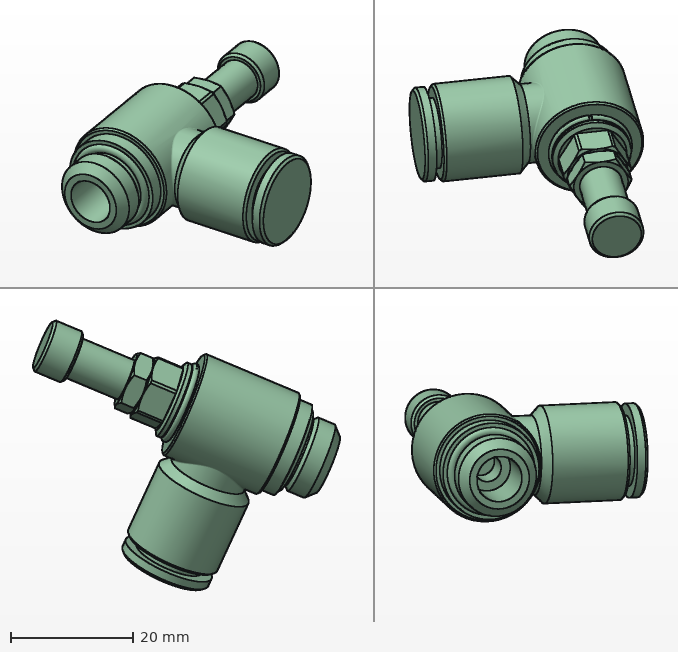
import cadquery as cq
import math


total_length = 51.0
total_width = 36.15
shank_radius = 6.55
flat_to_corner_angle = 30
hex_chamfer_slope = math.tan(math.radians(30))

banjo_diameter = 18.0
banjo_radius = banjo_diameter / 2
banjo_bottom = 8.75
banjo_top = 25.85
banjo_chamfer = 0.3
branch_height = (banjo_bottom + banjo_top) / 2

branch_neck_radius = 6.55
branch_radius = 8.05
branch_cone_start = 9.5
branch_end = 24.1
branch_end_chamfer = 0.4
branch_root_fillet = 0.25
collar_neck_radius = 5.8
collar_radius = 7.75
collar_start = 25.3
collar_end = total_width - banjo_radius
collar_chamfer = 0.45

port_chamfer = 1.55
thread_top = 4.5
relief_radius = 5.85
seal_flange_radius = 8.05
seal_flange_bottom = 6.3
port_bore_radius = 3.8
port_bore_depth = banjo_bottom
metering_bore_radius = 2.25
metering_bore_depth = 5.1

o_ring_section_radius = 0.74

snap_ring_section_radius = 0.55
snap_ring_radius = 6.4
snap_ring_gap = 0.45

upper_flange_bottom = 27.15
upper_flange_top = 28.35
upper_flange_chamfer_height = 0.45
upper_flange_top_radius = 5.7

body_hex_flats = 10.0
body_hex_corner_flats = 11.2
lock_nut_bottom = 33.2
lock_nut_top = 36.2
lock_nut_flats = 9.05
stem_radius = 3.5
knob_bottom = 45.55
knob_radius = 4.55
knob_chamfer = 0.45


def revolve_about_y(profile):
    return profile.close().revolve(360, (0, 0, 0), (0, 1, 0))


def hexagon(across_flats, bottom, top, turn_angle):
    """Hexagonal prism along Y; at turn angle 0 one flat faces +X."""
    prism = cq.Workplane("XZ").polygon(6, across_flats, circumscribed=True).extrude(bottom - top)
    return prism.rotate((0, 0, 0), (0, 1, 0), turn_angle).translate((0, bottom, 0))


def chamfer_envelope(face_radius, bottom, top, chamfer_bottom):
    """Turned blank whose 30 degree cones round off the corners of a hexagon."""
    reach = face_radius / 2
    rise = reach * hex_chamfer_slope
    outer = face_radius + reach
    profile = cq.Workplane("XY").moveTo(0, bottom)
    if chamfer_bottom:
        profile = profile.lineTo(face_radius, bottom).lineTo(outer, bottom + rise)
    else:
        profile = profile.lineTo(outer, bottom)
    profile = profile.lineTo(outer, top - rise).lineTo(face_radius, top).lineTo(0, top)
    return revolve_about_y(profile)



def make_banjo():
    profile = (
        cq.Workplane("XY")
        .moveTo(0, banjo_bottom)
        .lineTo(banjo_radius - banjo_chamfer, banjo_bottom)
        .lineTo(banjo_radius, banjo_bottom + banjo_chamfer)
        .lineTo(banjo_radius, banjo_top - banjo_chamfer)
        .lineTo(banjo_radius - banjo_chamfer, banjo_top)
        .lineTo(0, banjo_top)
    )
    return revolve_about_y(profile)


def make_branch_neck():
    """Plain neck of the branch, from the valve axis to the start of the cone."""
    neck = cq.Workplane("YZ").circle(branch_neck_radius).extrude(branch_cone_start)
    return neck.translate((0, branch_height, 0))


def make_branch():
    """Coned tube socket with the release collar on its end."""
    cone_end = branch_cone_start + branch_radius - branch_neck_radius
    profile = (
        cq.Workplane("XY")
        .moveTo(branch_cone_start, 0)
        .lineTo(branch_cone_start, branch_neck_radius)
        .lineTo(cone_end, branch_radius)
        .lineTo(branch_end - branch_end_chamfer, branch_radius)
        .lineTo(branch_end, branch_radius - branch_end_chamfer)
        .lineTo(branch_end, collar_neck_radius)
        .lineTo(collar_start, collar_neck_radius)
        .lineTo(collar_start, collar_radius)
        .lineTo(collar_end - collar_chamfer, collar_radius)
        .lineTo(collar_end, collar_radius - collar_chamfer)
        .lineTo(collar_end, 0)
        .close()
    )
    return profile.revolve(360, (0, 0, 0), (1, 0, 0)).translate((0, branch_height, 0))


def make_elbow():
    root_zone = cq.selectors.BoxSelector(
        (0, banjo_bottom + banjo_chamfer, -banjo_radius),
        (branch_cone_start - branch_root_fillet, banjo_top - banjo_chamfer, banjo_radius),
        boundingbox=True,
    )
    elbow = make_banjo().union(make_branch_neck())
    elbow = elbow.edges(root_zone).fillet(branch_root_fillet)
    elbow = elbow.union(make_branch())
    bore = revolve_about_y(
        cq.Workplane("XY")
        .moveTo(0, banjo_bottom)
        .lineTo(shank_radius, banjo_bottom)
        .lineTo(shank_radius, banjo_top)
        .lineTo(0, banjo_top)
    )
    return elbow.cut(bore)



def make_turned_core():
    """Everything round on the valve from the port end up to the upper flange."""
    relief_start = thread_top + shank_radius - relief_radius
    o_ring_radius = relief_radius + o_ring_section_radius
    profile = (
        cq.Workplane("XY")
        .lineTo(shank_radius - port_chamfer, 0)
        .lineTo(shank_radius, port_chamfer)
        .lineTo(shank_radius, thread_top)
        .lineTo(relief_radius, relief_start)
        .lineTo(relief_radius, seal_flange_bottom)
        .threePointArc(
            (o_ring_radius, seal_flange_bottom - o_ring_section_radius),
            (o_ring_radius + o_ring_section_radius, seal_flange_bottom),
        )
        .lineTo(seal_flange_radius, seal_flange_bottom)
        .lineTo(seal_flange_radius, banjo_bottom)
        .lineTo(shank_radius, banjo_bottom)
        .lineTo(shank_radius, banjo_top)
        .lineTo(snap_ring_radius, banjo_top)
        .lineTo(snap_ring_radius, upper_flange_bottom)
        .lineTo(shank_radius, upper_flange_bottom)
        .lineTo(shank_radius, upper_flange_top - upper_flange_chamfer_height)
        .lineTo(upper_flange_top_radius, upper_flange_top)
        .lineTo(0, upper_flange_top)
    )
    return revolve_about_y(profile)


def make_snap_ring():
    """Round-section ring half sunk in its groove, split on the +Z side."""
    height = banjo_top + snap_ring_section_radius
    ring = (
        cq.Workplane("XY")
        .center(snap_ring_radius, height)
        .circle(snap_ring_section_radius)
        .revolve(360, (-snap_ring_radius, 0, 0), (-snap_ring_radius, 1, 0))
    )
    gap = (
        cq.Workplane("XY")
        .box(snap_ring_gap, 2 * snap_ring_section_radius, banjo_radius, centered=(True, True, False))
        .translate((0, height, 0))
    )
    return ring.cut(gap)


def make_body_hex():
    """Wrench hexagon with small flats across its corners."""
    prism = hexagon(body_hex_flats, upper_flange_top, lock_nut_bottom, flat_to_corner_angle)
    corner_cut = hexagon(body_hex_corner_flats, upper_flange_top, lock_nut_bottom, 0)
    envelope = chamfer_envelope(body_hex_flats / 2, upper_flange_top, lock_nut_bottom, False)
    return prism.intersect(corner_cut).intersect(envelope)


def make_lock_nut():
    prism = hexagon(lock_nut_flats, lock_nut_bottom, lock_nut_top, flat_to_corner_angle)
    envelope = chamfer_envelope(lock_nut_flats / 2, lock_nut_bottom, lock_nut_top, True)
    return prism.intersect(envelope)


def make_stem_and_knob():
    profile = (
        cq.Workplane("XY")
        .moveTo(0, lock_nut_top)
        .lineTo(stem_radius, lock_nut_top)
        .lineTo(stem_radius, knob_bottom)
        .lineTo(knob_radius - knob_chamfer, knob_bottom)
        .lineTo(knob_radius, knob_bottom + knob_chamfer)
        .lineTo(knob_radius, total_length - knob_chamfer)
        .lineTo(knob_radius - knob_chamfer, total_length)
        .lineTo(0, total_length)
    )
    return revolve_about_y(profile)


def make_port_bore():
    """Stepped blind bore entering from the threaded end."""
    bore_end = port_bore_depth + metering_bore_depth
    profile = (
        cq.Workplane("XY")
        .lineTo(port_bore_radius, 0)
        .lineTo(port_bore_radius, port_bore_depth)
        .lineTo(metering_bore_radius, port_bore_depth)
        .lineTo(metering_bore_radius, bore_end)
        .lineTo(0, bore_end)
    )
    return revolve_about_y(profile)


def make_valve():
    valve = make_turned_core().cut(make_port_bore())
    for piece in (make_snap_ring(), make_body_hex(), make_lock_nut(), make_stem_and_knob()):
        valve = valve.union(piece)
    return valve


elbow = make_elbow()
valve = make_valve()
result = cq.Compound.makeCompound([elbow.solids().val(), valve.solids().val()])